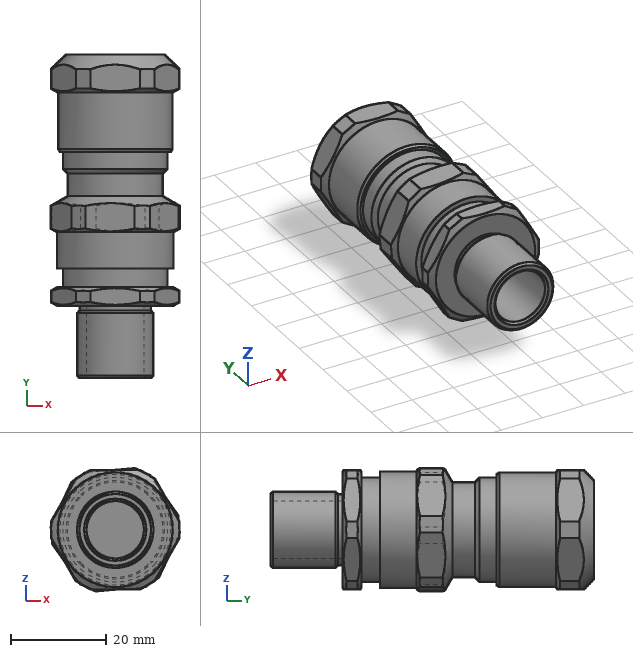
import cadquery as cq
import math

length = 67.85

sleeve_dia = 24.0
collar_dia = 22.0
waist_dia = 20.0
shoulder_dia = 24.5
neck_dia = 15.0
spigot_dia = 16.0
bore_dia = 12.0

rear_nut_end = 8.0
sleeve_end = 20.5
collar_end = 25.0
waist_end = 29.7
middle_nut_end = 37.25
shoulder_end = 44.9
lock_nut_start = 48.7
lock_nut_end = 52.8
spigot_start = 53.75

hex_across_flats = 25.05
hex_across_corners = 26.9
half_sector = 30.0
middle_nut_turn = 5.0

sleeve_chamfer_length = 0.7
sleeve_chamfer_depth = 0.4
collar_chamfer = (collar_dia - waist_dia) / 2
spigot_chamfer = (spigot_dia - neck_dia) / 2
bore_chamfer = 0.51
rear_cone_dia = 20.6
rear_cone_angle = 46.0
nut_cone_angle = 60.0

blank_radius = 14.25
bore_floor = lock_nut_end


def revolve_about_y(points):
    """Revolve (radius, station) points about the Y axis."""
    profile = [(radius, length / 2 - station) for radius, station in points]
    return cq.Workplane("XY").polyline(profile).close().revolve(360, (0, 0), (0, 1))


def hex_nut(start, end, rear_dia, front_dia, rear_angle=nut_cone_angle, turn=0.0):
    """Hexagon with flattened corners and a cone turned on each end."""
    hexagon = (
        cq.Workplane("XZ", origin=(0, length / 2 - start, 0))
        .polygon(6, hex_across_flats, circumscribed=True)
        .extrude(end - start)
        .rotate((0, 0, 0), (0, 1, 0), half_sector)
    )
    corner_cut = (
        cq.Workplane("XZ", origin=(0, length / 2 - start, 0))
        .polygon(6, hex_across_corners, circumscribed=True)
        .extrude(end - start)
    )
    rear_length = (blank_radius - rear_dia / 2) / math.tan(math.radians(rear_angle))
    front_length = (blank_radius - front_dia / 2) / math.tan(math.radians(nut_cone_angle))
    blank = revolve_about_y([
        (0, start),
        (rear_dia / 2, start),
        (blank_radius, start + rear_length),
        (blank_radius, end - front_length),
        (front_dia / 2, end),
        (0, end),
    ])
    return hexagon.intersect(corner_cut).rotate((0, 0, 0), (0, -1, 0), turn).intersect(blank)


body = revolve_about_y([
    (0, 0),
    (rear_cone_dia / 2, 0),
    (rear_cone_dia / 2, rear_nut_end),
    (sleeve_dia / 2, rear_nut_end),
    (sleeve_dia / 2, sleeve_end - sleeve_chamfer_length),
    (sleeve_dia / 2 - sleeve_chamfer_depth, sleeve_end),
    (collar_dia / 2, sleeve_end),
    (collar_dia / 2, collar_end - collar_chamfer),
    (waist_dia / 2, collar_end),
    (waist_dia / 2, middle_nut_end),
    (shoulder_dia / 2, middle_nut_end),
    (shoulder_dia / 2, shoulder_end),
    (collar_dia / 2, shoulder_end),
    (collar_dia / 2, lock_nut_end),
    (neck_dia / 2, lock_nut_end),
    (neck_dia / 2, spigot_start),
    (spigot_dia / 2, spigot_start + spigot_chamfer),
    (spigot_dia / 2, length - spigot_chamfer),
    (spigot_dia / 2 - spigot_chamfer, length),
    (0, length),
])

rear_nut = hex_nut(0, rear_nut_end, rear_cone_dia, sleeve_dia, rear_angle=rear_cone_angle)
middle_nut = hex_nut(waist_end, middle_nut_end, waist_dia, shoulder_dia, turn=middle_nut_turn)
lock_nut = hex_nut(lock_nut_start, lock_nut_end, sleeve_dia, sleeve_dia)

bore = revolve_about_y([
    (0, bore_floor),
    (bore_dia / 2, bore_floor),
    (bore_dia / 2, length - bore_chamfer),
    (bore_dia / 2 + bore_chamfer, length),
    (0, length),
])

result = body.union(rear_nut).union(middle_nut).union(lock_nut).cut(bore)